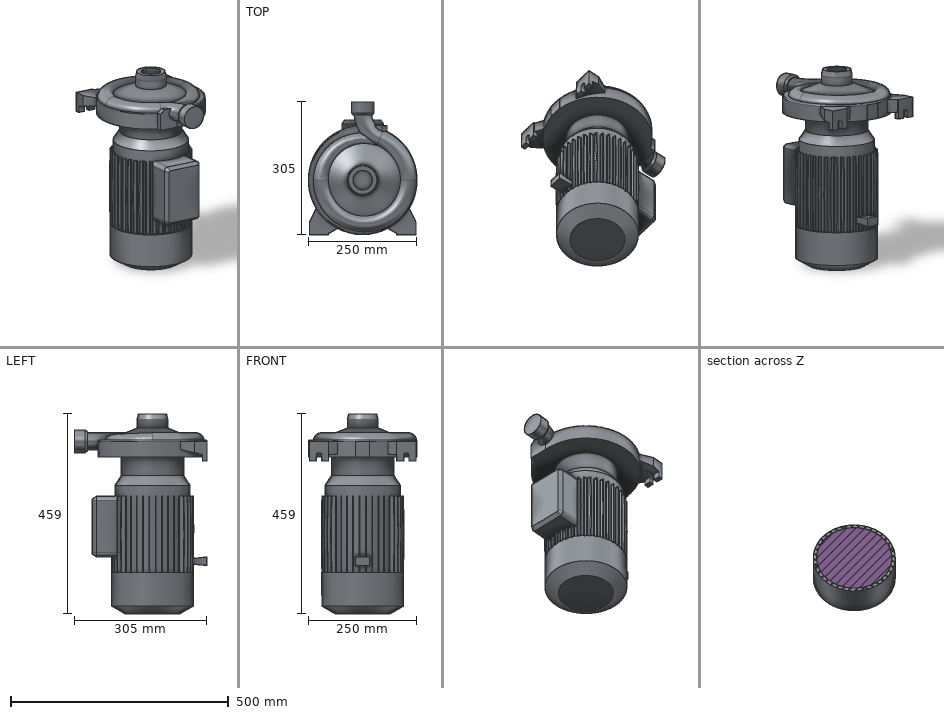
import cadquery as cq
import math

COVER_CONE_TOP = 18.0
FINS_BOTTOM = 94.5
FINS_TOP = 270.0
SHOULDER_BOTTOM = 295.0
SHOULDER_TOP = 317.0
CASING_BOTTOM = 360.0
PIPE_HEIGHT = 396.0
CASING_TOP = 399.0
DISH_TOP = 426.5
INLET_TAPER_BOTTOM = 446.0
TOTAL_HEIGHT = 459.0

COVER_BOTTOM_RADIUS = 63.0
COVER_RADIUS = 94.1
MOTOR_RADIUS = 86.5
LANTERN_RADIUS = 72.0
CASING_RADIUS = 125.0
DISH_RADIUS = 90.0
DISH_SLOPE = 0.405
INLET_RADIUS = 35.5
INLET_TOP_RADIUS = 32.5
INLET_BORE_RADIUS = 22.5
INLET_BORE_DEPTH = 17.0
CASING_EDGE_ROUND = CASING_TOP - PIPE_HEIGHT

FIN_COUNT = 40
FIN_GROUPS = 4
FIN_THICKNESS = 2.0
FIN_BARREL_RADIUS = 95.0
FIN_ROOT = 55.0

PIPE_RADIUS = 20.0
VOLUTE_START_RADIUS = 93.7
VOLUTE_END_RADIUS = 104.0
BEND_ANGLE = 67.5
TAIL_END_PIPE_RADIUS = 13.2
OUTLET_END = 179.5
OUTLET_RADIUS = 26.3
OUTLET_RIM_LENGTH = 25.0
OUTLET_CHAMFER_LENGTH = 5.5
OUTLET_CHAMFER_RADIUS = 21.7

GUSSET_LEFT = 10.0
GUSSET_RIGHT = 56.0
GUSSET_SLOPE_LEFT = 44.8
GUSSET_INNER = 106.8
GUSSET_TOP = 408.0

FOOT_FRONT = -125.5
FOOT_OUTER_X = 122.5
FOOT_INNER_X = 78.0
FOOT_WEB_OUTER_X = 107.0
FOOT_WEB_INNER_X = 57.5
FOOT_OUTER_FLANK_FRONT = -96.5
FOOT_INNER_FLANK_FRONT = -122.5
FOOT_INNER_FLANK_BACK = -111.0
FOOT_BOTTOM = 350.3
FOOT_PLATE_BACK = -114.6
FOOT_WEB_FRONT_HEIGHT = 365.5
FOOT_WEB_BACK = -64.7
FOOT_WEB_BACK_HEIGHT = 377.0
FOOT_SLOT_WIDTH = 12.0
FOOT_SLOT_TOP = 369.7

PAD_WIDTH = 32.0
LUG_FRONT = -125.0
LUG_HEIGHT = 120.7
LUG_FRONT_THICKNESS = 20.0
LUG_ROOT_THICKNESS = 14.0

BOX_HALF_WIDTH = 48.0
BOX_BOTTOM = 130.5
BOX_BACK = 138.5
BOX_CORNER_RADIUS = 10.0
BOX_RIM_DEPTH = 10.0
BOX_RIM_INSET = 6.8


def revolve_profile(points):
    """Turn an (r, z) outline, closed along the axis, around Z."""
    return cq.Workplane("XZ").polyline(points).close().revolve(360, (0, 0, 0), (0, 1, 0))


def make_motor():
    return revolve_profile([
        (0, 0),
        (COVER_BOTTOM_RADIUS, 0),
        (COVER_RADIUS, COVER_CONE_TOP),
        (COVER_RADIUS, FINS_BOTTOM),
        (MOTOR_RADIUS, FINS_BOTTOM),
        (MOTOR_RADIUS, SHOULDER_BOTTOM),
        (LANTERN_RADIUS, SHOULDER_TOP),
        (LANTERN_RADIUS, CASING_BOTTOM),
        (0, CASING_BOTTOM),
    ])


def make_casing():
    disc = cq.Workplane("XY").workplane(offset=CASING_BOTTOM).circle(CASING_RADIUS)
    disc = disc.extrude(CASING_TOP - CASING_BOTTOM).faces(">Z").edges().fillet(CASING_EDGE_ROUND)
    dish_edge_height = DISH_TOP - DISH_SLOPE * (DISH_RADIUS - INLET_RADIUS)
    dish_and_inlet = revolve_profile([
        (0, CASING_BOTTOM),
        (DISH_RADIUS, CASING_BOTTOM),
        (DISH_RADIUS, dish_edge_height),
        (INLET_RADIUS, DISH_TOP),
        (INLET_RADIUS, INLET_TAPER_BOTTOM),
        (INLET_TOP_RADIUS, TOTAL_HEIGHT),
        (0, TOTAL_HEIGHT),
    ])
    return disc.union(dish_and_inlet)


def make_fins():
    """List of fin solids, each a flat blade cut to the slightly bulging barrel."""
    barrel = (
        cq.Workplane("XZ")
        .moveTo(0, FINS_BOTTOM)
        .lineTo(COVER_RADIUS, FINS_BOTTOM)
        .threePointArc((FIN_BARREL_RADIUS, (FINS_BOTTOM + FINS_TOP) / 2), (COVER_RADIUS, FINS_TOP))
        .lineTo(0, FINS_TOP)
        .close()
        .revolve(360, (0, 0, 0), (0, 1, 0))
    )
    pitch_angle = 360 / FIN_COUNT
    fins_per_half_group = FIN_COUNT // (2 * FIN_GROUPS)
    group_angle = 360 / FIN_GROUPS
    blade_length = CASING_RADIUS - FIN_ROOT
    blades = []
    for group in range(FIN_GROUPS):
        for index in range(fins_per_half_group):
            offset = COVER_RADIUS * math.sin(math.radians((index + 0.5) * pitch_angle))
            for place in (-offset, offset):
                blade = cq.Workplane("XY").box(
                    blade_length,
                    FIN_THICKNESS,
                    TOTAL_HEIGHT,
                    centered=(False, True, False),
                )
                blade = blade.translate((FIN_ROOT, place, 0))
                blade = blade.rotate((0, 0, 0), (0, 0, 1), group * group_angle)
                blades.append(blade.intersect(barrel).val())
    return blades


def polar(radius, angle):
    """Point at the given radius and angle (degrees) from the pump axis."""
    return (radius * math.cos(math.radians(angle)), radius * math.sin(math.radians(angle)))


def make_inlet_bore():
    bore = cq.Workplane("XY", origin=(0, 0, TOTAL_HEIGHT)).circle(INLET_BORE_RADIUS)
    return bore.extrude(-INLET_BORE_DEPTH)


def make_volute():
    half_circle_center = (VOLUTE_END_RADIUS - VOLUTE_START_RADIUS) / 2
    half_circle_radius = (VOLUTE_END_RADIUS + VOLUTE_START_RADIUS) / 2
    bend_cosine = math.cos(math.radians(BEND_ANGLE))
    bend_radius = VOLUTE_END_RADIUS * bend_cosine / (1 - bend_cosine)
    bend_center = polar(VOLUTE_END_RADIUS + bend_radius, BEND_ANGLE)
    bend_middle = polar(bend_radius, 180 + BEND_ANGLE / 2)
    path = (
        cq.Workplane("XY", origin=(0, 0, PIPE_HEIGHT))
        .moveTo(-VOLUTE_START_RADIUS, 0)
        .threePointArc((half_circle_center, -half_circle_radius), (VOLUTE_END_RADIUS, 0))
        .threePointArc(polar(VOLUTE_END_RADIUS, BEND_ANGLE / 2), polar(VOLUTE_END_RADIUS, BEND_ANGLE))
        .threePointArc(
            (bend_center[0] + bend_middle[0], bend_center[1] + bend_middle[1]),
            (0, bend_center[1]),
        )
    )
    start = (-VOLUTE_START_RADIUS, 0, PIPE_HEIGHT)
    return cq.Workplane("XZ", origin=start).circle(PIPE_RADIUS).sweep(path)


def make_volute_tail():
    """Narrowing start of the volute, running from the -X side under the outlet bend."""
    middle_angle = (180 + BEND_ANGLE) / 2
    end = polar(VOLUTE_START_RADIUS, BEND_ANGLE)
    path = (
        cq.Workplane("XY", origin=(0, 0, PIPE_HEIGHT))
        .moveTo(-VOLUTE_START_RADIUS, 0)
        .threePointArc(polar(VOLUTE_START_RADIUS, middle_angle), end)
    )
    end_direction = polar(1, BEND_ANGLE - 90)
    start_plane = cq.Plane((-VOLUTE_START_RADIUS, 0, PIPE_HEIGHT), (0, 0, -1), (0, 1, 0))
    end_plane = cq.Plane((*end, PIPE_HEIGHT), (0, 0, -1), (*end_direction, 0))
    start_circle = cq.Workplane(start_plane).circle(PIPE_RADIUS).val()
    end_circle = cq.Workplane(end_plane).circle(TAIL_END_PIPE_RADIUS).val()
    tail = cq.Solid.sweep_multi([start_circle, end_circle], path.val())
    return cq.Workplane(tail)


def make_outlet():
    chamfer_end = OUTLET_END - OUTLET_RIM_LENGTH
    outlet = (
        cq.Workplane("XY")
        .polyline([
            (0, OUTLET_END),
            (OUTLET_RADIUS, OUTLET_END),
            (OUTLET_RADIUS, chamfer_end),
            (OUTLET_CHAMFER_RADIUS, chamfer_end - OUTLET_CHAMFER_LENGTH),
            (0, chamfer_end - OUTLET_CHAMFER_LENGTH),
        ])
        .close()
        .revolve(360, (0, 0, 0), (0, 1, 0))
    )
    return outlet.translate((0, 0, PIPE_HEIGHT))


def make_gusset():
    profile = [
        (GUSSET_LEFT, CASING_BOTTOM),
        (GUSSET_RIGHT, CASING_BOTTOM),
        (GUSSET_RIGHT, CASING_TOP),
        (GUSSET_SLOPE_LEFT, GUSSET_TOP),
        (GUSSET_LEFT, GUSSET_TOP),
    ]
    back_plane = cq.Workplane("XZ", origin=(0, CASING_RADIUS, 0))
    return back_plane.polyline(profile).close().extrude(CASING_RADIUS - GUSSET_INNER)


def make_right_foot():
    """Foot on the +X side: slotted front plate with a web rising towards the casing."""
    outline = [
        (FOOT_INNER_X, FOOT_FRONT),
        (FOOT_OUTER_X, FOOT_FRONT),
        (FOOT_OUTER_X, FOOT_OUTER_FLANK_FRONT),
        (FOOT_WEB_OUTER_X, FOOT_WEB_BACK),
        (FOOT_WEB_INNER_X, FOOT_WEB_BACK),
        (FOOT_WEB_INNER_X, FOOT_INNER_FLANK_BACK),
        (FOOT_INNER_X, FOOT_INNER_FLANK_FRONT),
    ]
    foot = cq.Workplane("XY", origin=(0, 0, FOOT_BOTTOM)).polyline(outline).close()
    foot = foot.extrude(PIPE_HEIGHT - FOOT_BOTTOM)
    under_web = (
        cq.Workplane("YZ")
        .polyline([
            (FOOT_PLATE_BACK, FOOT_BOTTOM),
            (FOOT_PLATE_BACK, FOOT_WEB_FRONT_HEIGHT),
            (FOOT_WEB_BACK, FOOT_WEB_BACK_HEIGHT),
            (FOOT_WEB_BACK, FOOT_BOTTOM),
        ])
        .close()
        .extrude(CASING_RADIUS)
    )
    beside_plate = cq.Workplane("XY").box(
        FOOT_INNER_X,
        FOOT_PLATE_BACK - FOOT_FRONT,
        FOOT_WEB_FRONT_HEIGHT - FOOT_BOTTOM,
        centered=False,
    )
    beside_plate = beside_plate.translate((0, FOOT_FRONT, FOOT_BOTTOM))
    slot_radius = FOOT_SLOT_WIDTH / 2
    slot_x = (FOOT_INNER_X + FOOT_OUTER_X) / 2
    slot_center_height = FOOT_SLOT_TOP - slot_radius
    slot = (
        cq.Workplane("XZ", origin=(slot_x, FOOT_FRONT, 0))
        .moveTo(-slot_radius, FOOT_BOTTOM)
        .lineTo(slot_radius, FOOT_BOTTOM)
        .lineTo(slot_radius, slot_center_height)
        .threePointArc((0, FOOT_SLOT_TOP), (-slot_radius, slot_center_height))
        .close()
        .extrude(FOOT_FRONT - FOOT_WEB_BACK)
    )
    return foot.cut(under_web).cut(beside_plate).cut(slot)


def make_pad():
    depth = CASING_RADIUS - LANTERN_RADIUS
    pad = cq.Workplane("XY").box(PAD_WIDTH, depth, PIPE_HEIGHT - CASING_BOTTOM, centered=(True, False, False))
    return pad.translate((0, -CASING_RADIUS, CASING_BOTTOM))


def make_lug():
    root = -FIN_ROOT
    front_half = LUG_FRONT_THICKNESS / 2
    root_half = LUG_ROOT_THICKNESS / 2
    profile = [
        (LUG_FRONT, LUG_HEIGHT - front_half),
        (LUG_FRONT, LUG_HEIGHT + front_half),
        (-COVER_RADIUS, LUG_HEIGHT + root_half),
        (root, LUG_HEIGHT + root_half),
        (root, LUG_HEIGHT - root_half),
        (-COVER_RADIUS, LUG_HEIGHT - root_half),
    ]
    return cq.Workplane("YZ").polyline(profile).close().extrude(PAD_WIDTH / 2, both=True)


def make_terminal_box():
    height = FINS_TOP - BOX_BOTTOM
    box = cq.Workplane("XY").box(2 * BOX_HALF_WIDTH, BOX_BACK, height, centered=(True, False, False))
    box = box.translate((0, 0, BOX_BOTTOM)).edges("|Y").fillet(BOX_CORNER_RADIUS)
    box = box.faces(">Y").chamfer(BOX_RIM_INSET, BOX_RIM_DEPTH)
    return box


right_foot = make_right_foot()
left_foot = right_foot.mirror("YZ")
features = [
    make_casing(),
    make_volute(),
    make_volute_tail(),
    make_outlet(),
    make_gusset(),
    right_foot,
    left_foot,
    make_pad(),
    make_lug(),
    make_terminal_box(),
]
feature_solids = [feature.val() for feature in features]
body = make_motor().val().fuse(*feature_solids, *make_fins())
result = cq.Workplane(body).cut(make_inlet_bore())